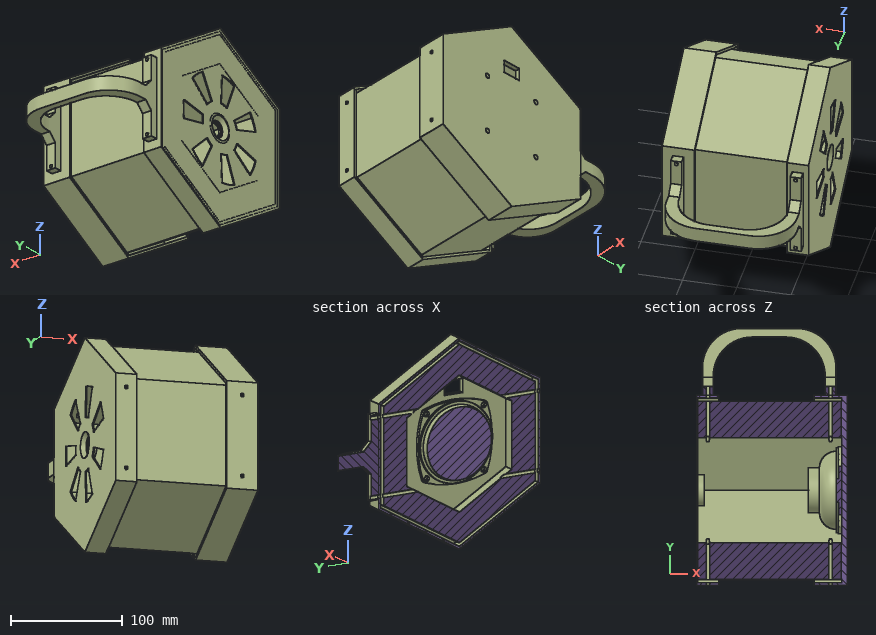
import cadquery as cq
import math

tube_apothem = 80.0
tube_wall = 25.0
tube_gap = 2.7
cap_wall = 2.5
cavity_apothem = tube_apothem + tube_gap
cap_apothem = cavity_apothem + cap_wall

total_length = 135.0
rear_cap_length = 20.0
speaker_cap_length = 30.0
rear_plate = 1.0
speaker_plate = 5.0
speaker_plate_face = total_length - speaker_plate

screw_diameter = 3.0
screw_height = 37.0
rear_screw_x = rear_cap_length / 2
speaker_screw_x = total_length - speaker_cap_length / 2

vent_count = 7
vent_inner_radius = 25.0
vent_outer_radius = 53.0
vent_angle = 20.0

port_mouth_diameter = 24.0
port_hole_diameter = 16.0
port_cone_depth = (port_mouth_diameter - port_hole_diameter) / 2
port_boss_wall = 2.0
port_boss_diameter = port_mouth_diameter + 2 * port_boss_wall
socket_bore_diameter = 13.0
socket_recess = 1.0
socket_length = 2.0
socket_face = port_cone_depth + socket_recess
port_length = socket_face + socket_length

speaker_screw_pitch = 60.0
flange_ear_radius = 4.0
flange_half_width = 39.0
flange_thickness = 3.0
flange_hole_diameter = 5.0
speaker_hole_diameter = 4.5
basket_rim_diameter = 76.0
basket_rim_thickness = 2.0
basket_radius = 35.0
magnet_diameter = 40.0
magnet_length = 10.0

switch_width = 19.0
switch_height = 13.0
switch_center_z = 50.2

handle_reach = 60.0
handle_leg = 10.0
handle_grip_thickness = 8.0
handle_width = 14.0
handle_bend_radius = 35.0
foot_height = 80.0
foot_thickness = 8.0
foot_gusset = 8.0


def hexagon(apothem, x_start, x_end):
    """Hexagonal bar along X with flats on +Y and -Y and corners on +Z and -Z."""
    corner_diameter = 2 * apothem / math.cos(math.pi / 6)
    bar = cq.Workplane("XY").polygon(6, corner_diameter).extrude(x_end - x_start)
    return bar.rotate((0, 0, 0), (0, 1, 0), 90).translate((x_start, 0, 0))


def cylinder(diameter, x_start, x_end):
    """Round bar along the X axis."""
    return (
        cq.Workplane("YZ", origin=(x_start, 0, 0))
        .circle(diameter / 2)
        .extrude(x_end - x_start)
    )


def side_screw_holes():
    """Drills along Y, two at each cap, long enough to cross the whole housing."""
    places = [(x, z) for x in (rear_screw_x, speaker_screw_x) for z in (screw_height, -screw_height)]
    drill_reach = cap_apothem + handle_reach
    return (
        cq.Workplane("XZ")
        .pushPoints(places)
        .circle(screw_diameter / 2)
        .extrude(drill_reach, both=True)
    )


def speaker_screw_drills(diameter):
    """Drills along X at the four speaker screws."""
    return (
        cq.Workplane("YZ")
        .rect(speaker_screw_pitch, speaker_screw_pitch, forConstruction=True)
        .vertices()
        .circle(diameter / 2)
        .extrude(total_length)
    )


def vents():
    """Ring of wedge-shaped cutters through the rear plate, the first centred on +Y."""
    half = math.radians(vent_angle / 2)

    def polar(radius, angle):
        return (radius * math.cos(angle), radius * math.sin(angle))

    wedge = (
        cq.Workplane("YZ")
        .moveTo(*polar(vent_inner_radius, -half))
        .lineTo(*polar(vent_outer_radius, -half))
        .threePointArc(polar(vent_outer_radius, 0), polar(vent_outer_radius, half))
        .lineTo(*polar(vent_inner_radius, half))
        .threePointArc(polar(vent_inner_radius, 0), polar(vent_inner_radius, -half))
        .close()
        .extrude(rear_plate)
    )
    cutter = wedge
    for i in range(1, vent_count):
        cutter = cutter.union(wedge.rotate((0, 0, 0), (1, 0, 0), i * 360 / vent_count))
    return cutter


def port_opening():
    """Cutter for the port: a cone that narrows into a straight hole."""
    profile = (
        cq.Workplane("XY")
        .lineTo(0, port_mouth_diameter / 2)
        .lineTo(port_cone_depth, port_hole_diameter / 2)
        .lineTo(port_length, port_hole_diameter / 2)
        .lineTo(port_length, 0)
        .close()
    )
    return profile.revolve(360, (0, 0, 0), (1, 0, 0))


def make_rear_cap():
    cap = hexagon(cap_apothem, 0, rear_cap_length)
    cap = cap.cut(hexagon(cavity_apothem, rear_plate, rear_cap_length))
    cap = cap.union(cylinder(port_boss_diameter, 0, port_length))
    return cap.cut(vents()).cut(port_opening()).cut(side_screw_holes())


def make_socket():
    socket = cylinder(port_hole_diameter, socket_face, port_length)
    return socket.cut(cylinder(socket_bore_diameter, socket_face, port_length))


def make_speaker_cap():
    cap_start = total_length - speaker_cap_length
    cap = hexagon(cap_apothem, cap_start, total_length)
    cap = cap.cut(hexagon(cavity_apothem, cap_start, speaker_plate_face))
    switch_opening = (
        cq.Workplane("YZ", origin=(speaker_plate_face, 0, switch_center_z))
        .rect(switch_width, switch_height)
        .extrude(speaker_plate)
    )
    cap = cap.cut(switch_opening)
    return cap.cut(speaker_screw_drills(speaker_hole_diameter)).cut(side_screw_holes())


def make_tube():
    tube = hexagon(tube_apothem, rear_plate, speaker_plate_face)
    bore = hexagon(tube_apothem - tube_wall, rear_plate, speaker_plate_face)
    return tube.cut(bore).cut(side_screw_holes())


def speaker_flange():
    """Square plate with bulged sides that run tangent into round ears at the screws."""
    ear = speaker_screw_pitch / 2
    rise = flange_half_width - ear
    side_radius = (rise**2 + ear**2 - flange_ear_radius**2) / (2 * (rise - flange_ear_radius))
    side_center = flange_half_width - side_radius
    side_angle = math.atan2(ear, ear - side_center)
    near = ear + flange_ear_radius * math.sin(side_angle)
    far = ear + flange_ear_radius * math.cos(side_angle)
    tip = ear + flange_ear_radius * math.sqrt(0.5)

    outline = cq.Workplane("YZ", origin=(speaker_plate_face, 0, 0)).moveTo(far, -near)
    for quarter in range(4):
        c = round(math.cos(quarter * math.pi / 2))
        s = round(math.sin(quarter * math.pi / 2))

        def turned(y, z):
            return (c * y - s * z, s * y + c * z)

        outline = outline.threePointArc(turned(flange_half_width, 0), turned(far, near))
        outline = outline.threePointArc(turned(tip, tip), turned(near, far))
    return outline.close().extrude(-flange_thickness)


def make_speaker():
    flange_face = speaker_plate_face - flange_thickness
    rim_face = flange_face - basket_rim_thickness
    magnet_radius = magnet_diameter / 2
    basket_depth = basket_radius - magnet_radius
    basket_back = rim_face - basket_depth
    magnet_back = basket_back - magnet_length
    arc_drop = basket_depth * math.sqrt(0.5)
    basket = (
        cq.Workplane("XY")
        .moveTo(flange_face, 0)
        .lineTo(flange_face, basket_rim_diameter / 2)
        .lineTo(rim_face, basket_rim_diameter / 2)
        .lineTo(rim_face, basket_radius)
        .threePointArc(
            (rim_face - arc_drop, magnet_radius + arc_drop),
            (basket_back, magnet_radius),
        )
        .lineTo(magnet_back, magnet_radius)
        .lineTo(magnet_back, 0)
        .close()
        .revolve(360, (0, 0, 0), (1, 0, 0))
    )
    flange = speaker_flange().cut(speaker_screw_drills(flange_hole_diameter))
    return flange.union(basket)


def make_handle():
    base_y = cap_apothem
    grip_y = base_y + handle_reach
    left = rear_screw_x - handle_leg / 2
    right = speaker_screw_x + handle_leg / 2
    half_foot = foot_height / 2
    half_width = handle_width / 2

    def arch(width, reach):
        """Block about the base line whose two far corners are rounded."""
        return (
            cq.Workplane("XY", origin=((left + right) / 2, base_y, 0))
            .rect(width, 2 * reach)
            .extrude(half_foot, both=True)
            .edges("|Z and >Y")
            .fillet(handle_bend_radius)
        )

    span = right - left
    loop = arch(span, handle_reach)
    loop = loop.cut(arch(span - 2 * handle_leg, handle_reach - handle_grip_thickness))

    neck_y = base_y + foot_thickness + foot_gusset
    side = (
        cq.Workplane("YZ", origin=(left, 0, 0))
        .moveTo(base_y, half_foot)
        .lineTo(base_y + foot_thickness, half_foot)
        .lineTo(base_y + foot_thickness, half_width + foot_gusset)
        .lineTo(neck_y, half_width)
        .lineTo(grip_y, half_width)
        .lineTo(grip_y, 0)
        .lineTo(base_y, 0)
        .close()
        .extrude(span)
    )
    side = side.union(side.mirror("XY"))
    return loop.intersect(side).cut(side_screw_holes())


rear_cap = make_rear_cap()
socket = make_socket()
tube = make_tube()
speaker_cap = make_speaker_cap()
speaker = make_speaker()
handle = make_handle()

bodies = [rear_cap, socket, tube, speaker_cap, speaker, handle]
result = cq.Compound.makeCompound([body.solids().val() for body in bodies])